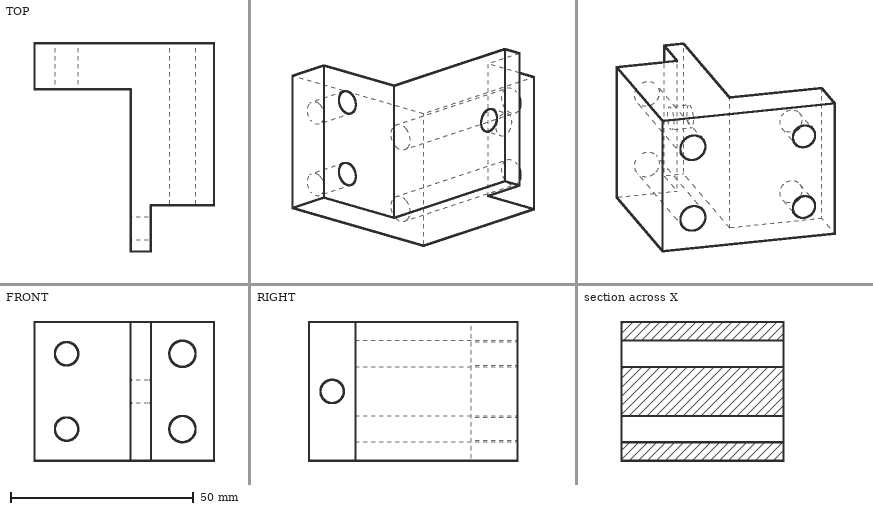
import cadquery as cq

width = 49.2
depth = 57.15
height = 38.1

flange_thickness = 12.7
tab_length = 12.7
tab_thickness = 5.56
shoulder_width = 17.3

flange_hole_diameter = 6.35
block_hole_diameter = 7.14
tab_hole_diameter = 6.35
hole_spacing_x = 31.75
hole_spacing_z = 20.64

shoulder_x = width - shoulder_width
tab_x = shoulder_x - tab_thickness
flange_y = depth - flange_thickness
block_hole_x = width - shoulder_width / 2
flange_hole_x = block_hole_x - hole_spacing_x
tab_hole_y = tab_length / 2
hole_heights = ((height - hole_spacing_z) / 2, (height + hole_spacing_z) / 2)


def make_body():
    """L-shaped bracket with a thin tab standing out of the front of the block."""
    outline = [
        (tab_x, 0),
        (shoulder_x, 0),
        (shoulder_x, tab_length),
        (width, tab_length),
        (width, depth),
        (0, depth),
        (0, flange_y),
        (tab_x, flange_y),
    ]
    return cq.Workplane("XY").polyline(outline).close().extrude(height)


def hole_along_y(x, z, diameter):
    """Cylinder that passes through the full depth of the part."""
    start = cq.Vector(x, 0, z)
    return cq.Workplane(cq.Solid.makeCylinder(diameter / 2, depth, start, cq.Vector(0, 1, 0)))


def tab_hole():
    """Cylinder across the tab, halfway up."""
    start = cq.Vector(tab_x, tab_hole_y, height / 2)
    direction = cq.Vector(1, 0, 0)
    return cq.Workplane(cq.Solid.makeCylinder(tab_hole_diameter / 2, tab_thickness, start, direction))


result = make_body()
for hole_z in hole_heights:
    result = result.cut(hole_along_y(flange_hole_x, hole_z, flange_hole_diameter))
    result = result.cut(hole_along_y(block_hole_x, hole_z, block_hole_diameter))
result = result.cut(tab_hole())